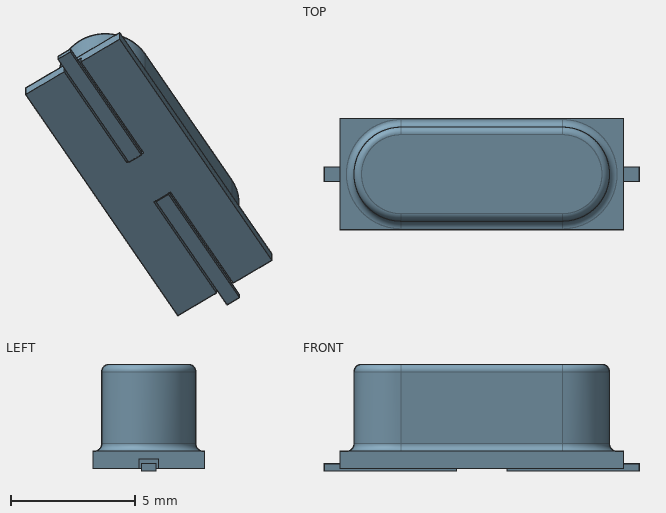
import cadquery as cq

overall_length = 12.7
overall_height = 4.3

base_length = 11.43
base_width = 4.5
base_bottom = 0.1
base_top = 0.8

can_length = 10.3
can_width = 3.8
edge_radius = 0.3

lead_width = 0.6
lead_thickness = 0.3
lead_gap = 2.03
groove_width = 0.8
groove_top = 0.5


def block(x_start, x_end, width, z_start, z_end):
    """Box centred on the X axis between the given X and Z limits."""
    return (
        cq.Workplane("XY")
        .box(x_end - x_start, width, z_end - z_start, centered=(False, True, False))
        .translate((x_start, 0, z_start))
    )


def both_ends(shape):
    """The shape together with its mirror image at the other end of the part."""
    return shape.union(shape.mirror("YZ"))


def make_base():
    return block(-base_length / 2, base_length / 2, base_width, base_bottom, base_top)


def make_can():
    return (
        cq.Workplane("XY")
        .workplane(offset=base_top)
        .slot2D(can_length, can_width)
        .extrude(overall_height - base_top)
        .faces(">Z")
        .edges()
        .fillet(edge_radius)
    )


def can_foot_edges(body):
    """Edges where the can wall meets the top of the base."""
    margin = 0.01
    return body.edges(
        cq.selectors.BoxSelector(
            (-can_length / 2 - margin, -can_width / 2 - margin, base_top - margin),
            (can_length / 2 + margin, can_width / 2 + margin, base_top + margin),
            boundingbox=True,
        )
    )


body = make_base().union(make_can())
body = can_foot_edges(body).fillet(edge_radius)

groove = block(-base_length / 2, -lead_gap / 2, groove_width, base_bottom, groove_top)
body = body.cut(both_ends(groove))

lead = block(-overall_length / 2, -lead_gap / 2, lead_width, 0, lead_thickness)
result = body.union(both_ends(lead))